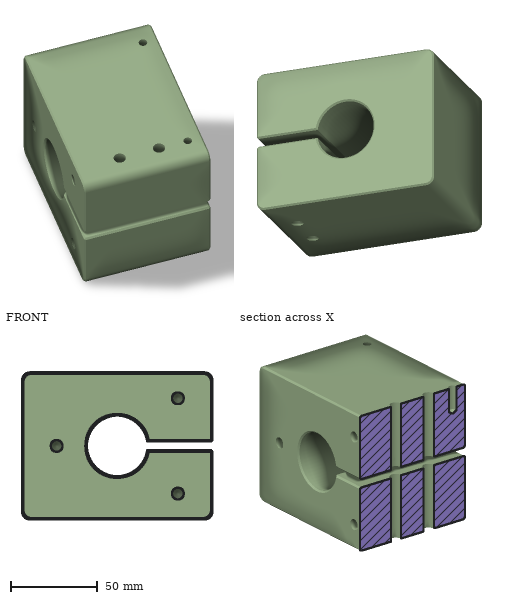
import cadquery as cq
import math

length = 110.0
depth = 77.0
height = 85.0
corner_radius = 5.0
edge_chamfer = 1.0

bore_diameter = 35.0
slot_width = 5.0

front_hole_diameter = 6.8
front_hole_depth = 19.8
front_hole_x = 35.0
front_hole_z = 27.5

top_hole_diameter = 5.0
top_hole_depth = 14.8
top_hole_y = 29.5

screw_hole_diameter = 7.0
screw_hole_y = 12.0
screw_hole_x = 40.0

drill_point_angle = 118.0


def drill(point, direction, diameter, full_depth):
    """Drilled blind hole with a conical bottom, starting at a face."""
    radius = diameter / 2
    tip = radius / math.tan(math.radians(drill_point_angle / 2))
    start = cq.Vector(*point)
    axis = cq.Vector(*direction)
    barrel = cq.Solid.makeCylinder(radius, full_depth, start, axis)
    cone = cq.Solid.makeCone(radius, 0, tip, start + axis * full_depth, axis)
    return cq.Workplane(barrel).union(cq.Workplane(cone))


body = cq.Workplane("XY").box(length, depth, height).edges("|Y").fillet(corner_radius)
bore = cq.Workplane("XZ").circle(bore_diameter / 2).extrude(depth / 2, both=True)
slot = cq.Workplane("XY").box(length / 2, depth, slot_width).translate((length / 4, 0, 0))
body = body.cut(bore).cut(slot)
end_edges = body.faces("<Y or >Y").edges()
slot_mouth_edges = body.faces(">X").edges("|Y").filter(lambda edge: abs(edge.Center().z) < slot_width)
body = end_edges.add(slot_mouth_edges).chamfer(edge_chamfer)

front_hole_places = [
    (-front_hole_x, 0),
    (front_hole_x, front_hole_z),
    (front_hole_x, -front_hole_z),
]
for x, z in front_hole_places:
    body = body.cut(drill((x, -depth / 2, z), (0, 1, 0), front_hole_diameter, front_hole_depth))

for x in (-screw_hole_x, screw_hole_x):
    body = body.cut(drill((x, top_hole_y, height / 2), (0, 0, -1), top_hole_diameter, top_hole_depth))

screw_holes = (
    cq.Workplane("XY")
    .pushPoints([(screw_hole_x, -screw_hole_y), (screw_hole_x, screw_hole_y)])
    .circle(screw_hole_diameter / 2)
    .extrude(height / 2, both=True)
)
result = body.cut(screw_holes)